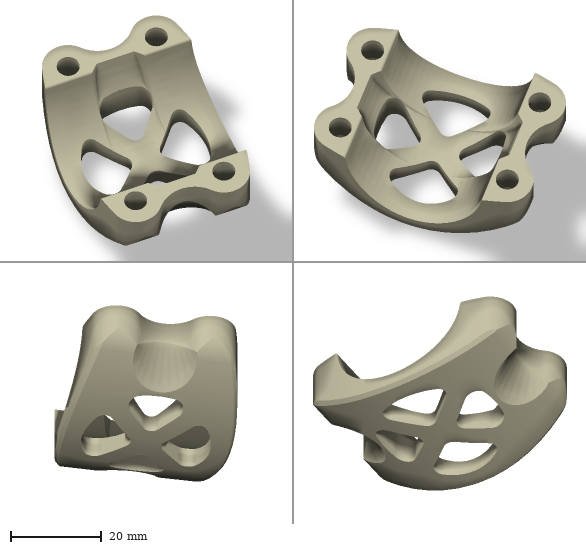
import cadquery as cq
import math

length = 50.6
width = 38.1
height = 18.25
half_length = length / 2
half_width = width / 2

lug_x = 19.5
lug_y = 10.45
lug_radius = half_length - lug_x
hole_radius = 2.55
hole_depth = 7.6
drill_tip_depth = 1.5

waist_x = 20.4

underside_radius = 36.9
underside_tip_x = 22.75
underside_tip_radius = 6.75
end_chamfer = 0.8

bore_radius = 16.0
bore_z = 1.35
bore_edge_round = 0.5
groove_radius = 18.1
groove_z = bore_z + groove_radius - bore_radius
groove_half_width = 6.25

window_slope = math.radians(41)
side_window_apex = 3.5
side_window_outer = 14.3
side_window_outer_radius = 22.25
side_window_apex_round = 2.1
side_window_corner_round = 2.55
end_window_apex = 2.75
end_window_outer = 14.35
end_window_outer_radius = 12.85
end_window_round = 2.2

relief_x = 25.05
relief_top_z = -5.1
relief_bottom_radius = 11.5


def disc(x, y, radius):
    return cq.Workplane("XY", origin=(x, y, -height)).circle(radius).extrude(height)


def end_arch_radius():
    """Radius of the end arc that touches both lugs from outside."""
    drop = half_width - lug_y
    return (lug_x**2 + drop**2 - lug_radius**2) / (2 * (drop - lug_radius))


def plan_prism():
    """Vertical-walled blank with four lugs, arched ends and concave waists."""
    end_radius = end_arch_radius()
    end_scale = end_radius / (end_radius - lug_radius)
    end_x = lug_x * end_scale
    end_center_y = half_width - end_radius
    end_y = end_center_y + (lug_y - end_center_y) * end_scale

    offset = waist_x - lug_x
    waist_radius = (offset**2 + lug_y**2 - lug_radius**2) / (2 * (lug_radius - offset))
    waist_scale = waist_radius / (waist_radius + lug_radius)
    waist_center_x = waist_x + waist_radius
    tangent_x = waist_center_x + (lug_x - waist_center_x) * waist_scale
    tangent_y = lug_y * waist_scale
    lug_mid = (lug_x + lug_radius, lug_y)

    return (
        cq.Workplane("XY", origin=(0, 0, -height))
        .moveTo(-end_x, end_y)
        .threePointArc((0, half_width), (end_x, end_y))
        .threePointArc(lug_mid, (tangent_x, tangent_y))
        .threePointArc((waist_x, 0), (tangent_x, -tangent_y))
        .threePointArc((lug_mid[0], -lug_y), (end_x, -end_y))
        .threePointArc((0, -half_width), (-end_x, -end_y))
        .threePointArc((-lug_mid[0], -lug_y), (-tangent_x, -tangent_y))
        .threePointArc((-waist_x, 0), (-tangent_x, tangent_y))
        .threePointArc((-lug_mid[0], lug_y), (-end_x, end_y))
        .close()
        .extrude(height)
    )


def underside_prism():
    """Arched profile extruded along Y."""
    center_z = underside_radius - height
    tip_angle = math.asin(underside_tip_x / underside_radius)
    tip_z = center_z - underside_radius * math.cos(tip_angle)
    tip_center_x = underside_tip_x - underside_tip_radius * math.sin(tip_angle)
    tip_center_z = tip_z + underside_tip_radius * math.cos(tip_angle)
    mid_angle = (tip_angle + math.pi / 2) / 2
    mid_x = tip_center_x + underside_tip_radius * math.sin(mid_angle)
    mid_z = tip_center_z - underside_tip_radius * math.cos(mid_angle)
    side_x = tip_center_x + underside_tip_radius
    return (
        cq.Workplane("XZ")
        .moveTo(-side_x, 0)
        .lineTo(-side_x, tip_center_z)
        .threePointArc((-mid_x, mid_z), (-underside_tip_x, tip_z))
        .threePointArc((0, -height), (underside_tip_x, tip_z))
        .threePointArc((mid_x, mid_z), (side_x, tip_center_z))
        .lineTo(side_x, 0)
        .close()
        .extrude(half_width, both=True)
    )


def groove_cutter():
    """Eccentric cylinder trimmed by 45 degree cones coaxial with the bore."""
    peak_radius = bore_radius + groove_half_width
    flanks = (
        cq.Workplane("XY")
        .polyline([(0, -peak_radius), (peak_radius, 0), (0, peak_radius)])
        .close()
        .revolve(360, (0, 0), (0, 1))
        .translate((0, 0, bore_z))
    )
    floor = cq.Workplane("XZ", origin=(0, 0, groove_z)).circle(groove_radius)
    return floor.extrude(groove_half_width, both=True).intersect(flanks)


def window(apex, outer, outer_radius, half_spread, apex_round, corner_round):
    """Rounded sector pointing at the origin along X, cut straight down.

    half_spread is the angle of each straight side from the X axis.
    """
    slope = math.tan(half_spread)
    reach = outer + outer_radius
    wedge = (
        cq.Workplane("XY", origin=(0, 0, -height))
        .polyline([(apex, 0), (reach, (reach - apex) * slope), (reach, -(reach - apex) * slope)])
        .close()
        .extrude(height)
    )
    sector = wedge.intersect(disc(outer - outer_radius, 0, outer_radius))
    sector = sector.edges("|Z").edges("not <X").fillet(corner_round)
    return sector.edges("|Z").edges("<X").fillet(apex_round)


end_radius = end_arch_radius()
body = underside_prism()
for side in (-1, 1):
    body = body.intersect(disc(0, side * (half_width - end_radius), end_radius))
for end_y in (-half_width, half_width):
    body = body.edges(cq.selectors.NearestToPointSelector((0, end_y, -height))).chamfer(end_chamfer)
body = body.intersect(plan_prism())

body = body.cut(cq.Workplane("XZ", origin=(0, 0, bore_z)).circle(bore_radius).extrude(half_width, both=True))
rim_x = math.sqrt(bore_radius**2 - bore_z**2)
for side in (-1, 1):
    rim = cq.selectors.NearestToPointSelector((side * rim_x, 0, 0))
    body = body.edges(rim).fillet(bore_edge_round)

body = body.cut(groove_cutter())

side_window = window(
    side_window_apex,
    side_window_outer,
    side_window_outer_radius,
    window_slope,
    side_window_apex_round,
    side_window_corner_round,
)
end_window = window(
    end_window_apex,
    end_window_outer,
    end_window_outer_radius,
    math.pi / 2 - window_slope,
    end_window_round,
    end_window_round,
)
for turn in (0, 180):
    body = body.cut(side_window.rotate((0, 0, 0), (0, 0, 1), turn))
    body = body.cut(end_window.rotate((0, 0, 0), (0, 0, 1), turn + 90))

for side in (-1, 1):
    relief = cq.Workplane("XY", origin=(side * relief_x, 0, relief_top_z)).circle(relief_x - waist_x)
    relief = relief.workplane(offset=-height - relief_top_z).circle(relief_bottom_radius).loft(ruled=True)
    body = body.cut(relief)

screw_hole = (
    cq.Workplane("XZ")
    .polyline([(0, 0), (hole_radius, 0), (hole_radius, -hole_depth), (0, -hole_depth - drill_tip_depth)])
    .close()
    .revolve(360, (0, 0), (0, 1))
)
for x in (-lug_x, lug_x):
    for y in (-lug_y, lug_y):
        body = body.cut(screw_hole.translate((x, y, 0)))

result = body